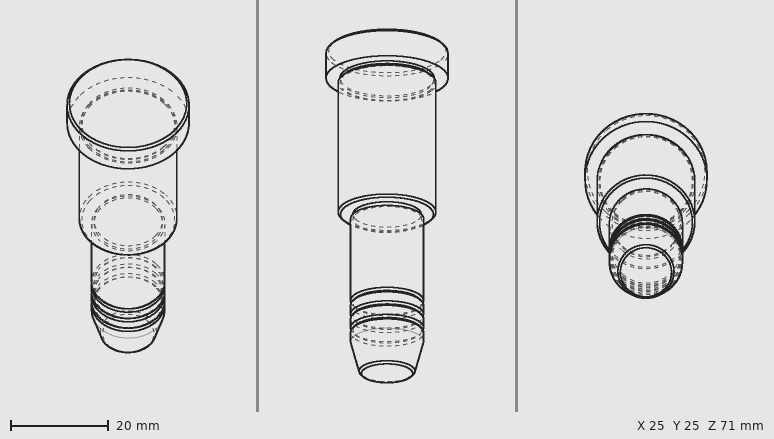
import cadquery as cq
import math

length = 71.0
edge_chamfer = 0.5

head_diameter = 25.0
head_height = 6.0

sleeve_diameter = 20.0
sleeve_end_depth = 36.0
relief_diameter = 19.3
relief_height = 1.0
relief_waist_depth = 0.2

shank_diameter = 15.0
shank_relief_diameter = 14.0
shank_relief_height = 1.0

groove_count = 3
groove_depth = 0.5
groove_width = 1.0
groove_pitch = 3.0
first_groove_depth = 55.0

tip_height = 7.0
tip_angle = 15.0

head_radius = head_diameter / 2
sleeve_radius = sleeve_diameter / 2
relief_radius = relief_diameter / 2
shank_radius = shank_diameter / 2
shank_relief_radius = shank_relief_diameter / 2

head_bottom = length - head_height
relief_middle = head_bottom - relief_height / 2
sleeve_top = head_bottom - relief_height
sleeve_bottom = length - sleeve_end_depth
shank_top = sleeve_bottom - shank_relief_height
taper_height = tip_height - edge_chamfer
tip_radius = shank_radius - taper_height * math.tan(math.radians(tip_angle))


def make_body():
    """Revolve the stepped half profile about the Z axis."""
    profile = (
        cq.Workplane("XZ")
        .moveTo(0, length)
        .lineTo(head_radius - edge_chamfer, length)
        .lineTo(head_radius, length - edge_chamfer)
        .lineTo(head_radius, head_bottom)
        .lineTo(relief_radius, head_bottom)
        .lineTo(relief_radius - relief_waist_depth, relief_middle)
        .lineTo(relief_radius, sleeve_top)
        .lineTo(sleeve_radius, sleeve_top)
        .lineTo(sleeve_radius, sleeve_bottom + edge_chamfer)
        .lineTo(sleeve_radius - edge_chamfer, sleeve_bottom)
        .lineTo(shank_relief_radius, sleeve_bottom)
        .lineTo(shank_relief_radius, shank_top)
        .lineTo(shank_radius, shank_top)
        .lineTo(shank_radius, tip_height)
        .lineTo(tip_radius, edge_chamfer)
        .lineTo(tip_radius - edge_chamfer, 0)
        .lineTo(0, 0)
        .close()
    )
    return profile.revolve(360, (0, 0), (0, 1))


def make_groove(top):
    """Ring with a triangular section whose upper edge is at height top."""
    middle = top - groove_width / 2
    bottom = top - groove_width
    outer_radius = shank_radius + groove_depth
    section = [
        (outer_radius, top),
        (shank_radius, top),
        (shank_radius - groove_depth, middle),
        (shank_radius, bottom),
        (outer_radius, bottom),
    ]
    return cq.Workplane("XZ").polyline(section).close().revolve(360, (0, 0), (0, 1))


result = make_body()
for index in range(groove_count):
    groove_top = length - first_groove_depth - index * groove_pitch
    result = result.cut(make_groove(groove_top))